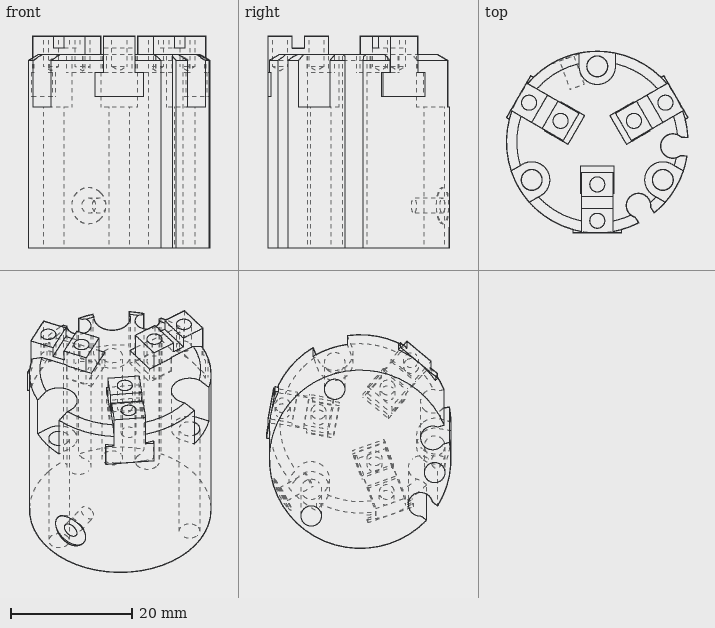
import cadquery as cq
import math

body_diameter = 30.0
body_radius = body_diameter / 2
total_height = 35
body_height = 32.0
rim_bevel_height = 1.0
rim_bevel_inset = 1.7

jaw_count = 3
jaw_angles = [-90 + i * 360 / jaw_count for i in range(jaw_count)]
jaw_length = 10.0
jaw_width = 5.2
jaw_inner_radius = body_radius - jaw_length
jaw_foot_width = 8.0
jaw_foot_bottom = 25.0
jaw_foot_top = 29.0
jaw_notch_width = 2.0
jaw_notch_depth = 2.0
jaw_block_length = (jaw_length - jaw_notch_width) / 2
jaw_hole_diameter = 2.5
jaw_hole_depth = 5.0
jaw_hole_radii = [jaw_inner_radius + jaw_block_length / 2, body_radius - jaw_block_length / 2]
drill_point_angle = 118

clearance_width = 5.5
clearance_inner_radius = 4.0
clearance_outer_radius = 8.5

mount_angles = [angle + 180 / jaw_count for angle in jaw_angles]
mount_circle_radius = 12.5
mount_hole_diameter = 3.4
mount_recess_width = 6.0
mount_recess_floor = 23.3

groove_middle_angle = mount_angles[0]
groove_spread = 27
groove_circle_radius = 12.5
groove_diameter = 4.0
groove_mouth_width = 3.0
groove_lip_radius = 0.5

port_angle = 110
port_height = 7
port_seat_diameter = 6.0
port_hole_diameter = 2.5
port_hole_depth = 5.0

overshoot = 3.5


def radial_block(inner, outer, width, bottom, top):
    """Block along +X from one radius to another, centred on the X axis."""
    block = cq.Workplane("XY").box(outer - inner, width, top - bottom, centered=(False, True, False))
    return block.translate((inner, 0, bottom))


def turned(shape, angle):
    """Shape rotated about the body axis."""
    return shape.rotate((0, 0, 0), (0, 0, 1), angle)


def make_body():
    bevel_base = body_height - rim_bevel_height
    profile = [
        (0, 0),
        (body_radius, 0),
        (body_radius, bevel_base),
        (body_radius - rim_bevel_inset, body_height),
        (0, body_height),
    ]
    return cq.Workplane("XZ").polyline(profile).close().revolve(360, (0, 0), (0, 1))


def make_jaw_hole(radius):
    """Blind drilled hole with a conical bottom."""
    hole_radius = jaw_hole_diameter / 2
    point_depth = hole_radius / math.tan(math.radians(drill_point_angle / 2))
    hole_floor = total_height - jaw_hole_depth
    profile = [
        (0, hole_floor - point_depth),
        (hole_radius, hole_floor),
        (hole_radius, total_height),
        (0, total_height),
    ]
    hole = cq.Workplane("XZ").polyline(profile).close().revolve(360, (0, 0), (0, 1))
    return hole.translate((radius, 0, 0))


def make_jaw():
    """T-shaped jaw along +X, split on top into two blocks."""
    stem = radial_block(jaw_inner_radius, body_radius, jaw_width, jaw_foot_bottom, total_height)
    foot = radial_block(jaw_inner_radius, body_radius, jaw_foot_width, jaw_foot_bottom, jaw_foot_top)
    jaw = stem.union(foot)

    notch_start = jaw_inner_radius + jaw_block_length
    notch_end = notch_start + jaw_notch_width
    notch_floor = total_height - jaw_notch_depth
    return jaw.cut(radial_block(notch_start, notch_end, jaw_width, notch_floor, total_height))


def make_mount_cutter():
    """Through hole below a round-ended recess that opens outward."""
    hole = cq.Workplane("XY").circle(mount_hole_diameter / 2).extrude(body_height)
    recess_depth = body_height - mount_recess_floor
    recess = cq.Workplane("XY").circle(mount_recess_width / 2).extrude(recess_depth)
    cutter = hole.union(recess.translate((0, 0, mount_recess_floor))).translate((mount_circle_radius, 0, 0))
    opening = radial_block(
        mount_circle_radius, body_radius + overshoot, mount_recess_width, mount_recess_floor, body_height
    )
    return cutter.union(opening)


def make_groove_cutter():
    """Round channel with a narrower mouth; the lips between them are rounded."""
    channel = cq.Workplane("XY").center(groove_circle_radius, 0).circle(groove_diameter / 2).extrude(body_height)
    mouth = radial_block(groove_circle_radius, body_radius + overshoot, groove_mouth_width, 0, body_height)
    lip_radius_position = groove_circle_radius + math.sqrt(groove_diameter**2 - groove_mouth_width**2) / 2
    cutter = channel.union(mouth)
    for side in (-1, 1):
        lip = cq.selectors.NearestToPointSelector(
            (lip_radius_position, side * groove_mouth_width / 2, body_height / 2)
        )
        cutter = cutter.edges("|Z").edges(lip).fillet(groove_lip_radius)
    return cutter


def make_port_cutter():
    """Seat sunk just deep enough to be a full circle, with a blind hole in its middle."""
    seat_distance = math.sqrt(body_radius**2 - (port_seat_diameter / 2) ** 2)
    seat_plane = cq.Workplane("YZ", origin=(seat_distance, 0, port_height))
    seat = seat_plane.circle(port_seat_diameter / 2).extrude(overshoot)
    hole = seat_plane.circle(port_hole_diameter / 2).extrude(-port_hole_depth)
    return seat.union(hole)


result = make_body()

for angle in mount_angles:
    result = result.cut(turned(make_mount_cutter(), angle))

for offset in (-groove_spread, groove_spread):
    result = result.cut(turned(make_groove_cutter(), groove_middle_angle + offset))

result = result.cut(turned(make_port_cutter(), port_angle))

for angle in jaw_angles:
    clearance = radial_block(
        clearance_inner_radius, clearance_outer_radius, clearance_width, jaw_foot_top, body_height
    )
    result = result.cut(turned(clearance, angle))
    result = result.union(turned(make_jaw(), angle))
    for radius in jaw_hole_radii:
        result = result.cut(turned(make_jaw_hole(radius), angle))